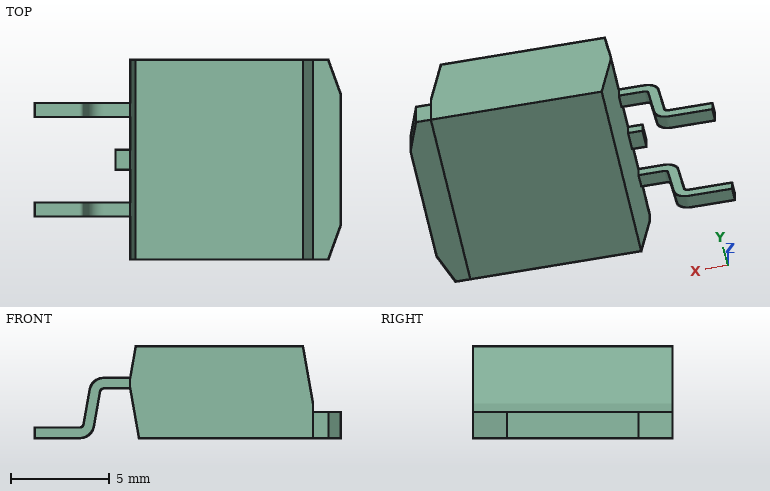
import cadquery as cq
import math


overall_length = 15.62
width = 10.2
height = 4.7

lead_reach = 4.87
lead_width = 0.73
lead_thickness = 0.55
lead_pitch = 5.08
lead_bottom = 2.54
foot_length = 2.69
bend_inner_radius = 0.2
lead_lean = math.radians(10)
stub_length = 0.75
stub_width = 1.03

tab_length = 1.41
tab_thickness = 1.35
tab_corner_length = 0.64
tab_corner_angle = math.radians(20)

draft = math.radians(10)
tab_side_upright = 1.75
housing_length = overall_length - lead_reach - tab_length
lead_top = lead_bottom + lead_thickness


def make_housing():
    """Block with drafted end faces, upright along the lead band and above the tab."""
    lower_inset = lead_bottom * math.tan(draft)
    upper_inset = (height - lead_top) * math.tan(draft)
    tab_side_inset = (height - tab_side_upright) * math.tan(draft)
    outline = [
        (lower_inset, 0),
        (housing_length, 0),
        (housing_length, tab_side_upright),
        (housing_length - tab_side_inset, height),
        (upper_inset, height),
        (0, lead_top),
        (0, lead_bottom),
    ]
    return cq.Workplane("XZ").polyline(outline).close().extrude(width / 2, both=True)


def make_tab():
    """Flat plate against the end of the housing, with its two outer corners cut off."""
    corner_width = tab_corner_length / math.tan(tab_corner_angle)
    half_width = width / 2
    tab_end = housing_length + tab_length
    corner_start = tab_end - tab_corner_length
    outline = [
        (housing_length, -half_width),
        (corner_start, -half_width),
        (tab_end, corner_width - half_width),
        (tab_end, half_width - corner_width),
        (corner_start, half_width),
        (housing_length, half_width),
    ]
    return cq.Workplane("XY").polyline(outline).close().extrude(tab_thickness)


def make_lead(y_center):
    """Gull-wing lead: a rectangle swept along foot, leaning riser and shoulder."""
    foot_z = lead_thickness / 2
    shoulder_z = lead_bottom + lead_thickness / 2
    foot_corner_x = foot_length - lead_reach
    shoulder_corner_x = foot_corner_x + (shoulder_z - foot_z) * math.tan(lead_lean)

    bend_radius = bend_inner_radius + lead_thickness / 2
    setback = bend_radius * math.tan((math.pi / 2 - lead_lean) / 2)
    riser_dx = setback * math.sin(lead_lean)
    riser_dz = setback * math.cos(lead_lean)

    path = (
        cq.Workplane("XZ", origin=(0, y_center, 0))
        .moveTo(-lead_reach, foot_z)
        .lineTo(foot_corner_x - setback, foot_z)
        .tangentArcPoint((foot_corner_x + riser_dx, foot_z + riser_dz), relative=False)
        .lineTo(shoulder_corner_x - riser_dx, shoulder_z - riser_dz)
        .tangentArcPoint((shoulder_corner_x + setback, shoulder_z), relative=False)
        .lineTo(0, shoulder_z)
    )
    section = cq.Workplane("YZ", origin=(-lead_reach, y_center, foot_z)).rect(lead_width, lead_thickness)
    return section.sweep(path)


def make_stub():
    """Middle lead cut short, level with the shoulders of the other leads."""
    block = cq.Workplane("XY").box(stub_length, stub_width, lead_thickness, centered=(False, True, False))
    return block.translate((-stub_length, 0, lead_bottom))


housing = make_housing()
tab = make_tab()
stub = make_stub()
leads = [make_lead(side * lead_pitch / 2) for side in (-1, 1)]

result = cq.Compound.makeCompound(
    [housing.val(), tab.val(), stub.val(), *[lead.val() for lead in leads]]
)